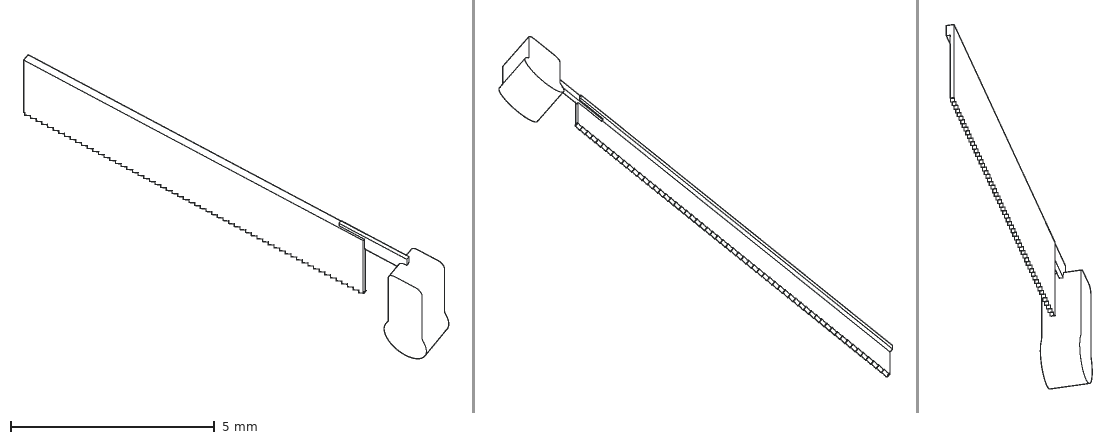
import cadquery as cq
import math

blade_length = 10.0
blade_height = 2.15
blade_thickness = 0.1
spine_thickness = 0.2
spine_height = 0.3
blade_front = -spine_thickness / 2

tooth_count = 60
tooth_pitch = blade_length / tooth_count
tooth_depth = 0.1
tooth_length = 0.158
first_tooth_start = 0.033
tooth_strip_overlap = 0.3

tang_length = 2.0
tang_height = 0.5
tang_thickness = 0.1
tang_rise = 0.1
tang_overlap = 0.75
tang_start = blade_length - tang_overlap
tang_top = blade_height + tang_rise

handle_gap = 1.0
handle_width = 1.0
handle_depth = 1.0
handle_height = 3.0
handle_drop = 0.25
handle_corner_radius = 0.2
knob_radius = 0.625
knob_blend_radius = 0.2
handle_center = blade_length + handle_gap + handle_width / 2
handle_top = tang_top - handle_drop
knob_center = handle_top - handle_height + knob_radius


def box(corner, size):
    """Box placed by its lowest corner."""
    return cq.Workplane("XY").box(*size, centered=False).translate(corner)


def make_blade():
    plate = box((0, blade_front, 0), (blade_length, blade_thickness, blade_height))
    spine = box(
        (0, blade_front, blade_height - spine_height),
        (blade_length, spine_thickness, spine_height),
    )
    return plate.union(spine)


def make_teeth():
    """One sawtooth strip that overlaps the plate; the last tooth reaches slightly past its end."""
    outline = [(0, tooth_strip_overlap), (0, 0)]
    for index in range(tooth_count):
        start = first_tooth_start + index * tooth_pitch
        outline.append((start, 0))
        outline.append((start, -tooth_depth))
        outline.append((start + tooth_length, 0))
    outline.append((blade_length, 0))
    outline.append((blade_length, tooth_strip_overlap))
    strip = cq.Workplane("XZ").polyline(outline).close().extrude(-blade_thickness)
    return strip.translate((0, blade_front, 0))


def make_tang():
    return box(
        (tang_start, -tang_thickness / 2, tang_top - tang_height),
        (tang_length, tang_thickness, tang_height),
    )


def make_handle():
    half_width = handle_width / 2

    corner = handle_corner_radius * (1 - math.cos(math.radians(45)))

    blend_x = half_width + knob_blend_radius
    center_distance = knob_radius + knob_blend_radius
    blend_z = math.sqrt(center_distance**2 - blend_x**2)
    knob_share = knob_radius / center_distance
    touch_x = blend_x * knob_share
    touch_z = blend_z * knob_share

    blend_angle = math.atan2(blend_z, blend_x) / 2
    middle_x = blend_x - knob_blend_radius * math.cos(blend_angle)
    middle_z = blend_z - knob_blend_radius * math.sin(blend_angle)

    top = handle_top - knob_center
    flat_end = half_width - handle_corner_radius
    side_end = top - handle_corner_radius
    outline = (
        cq.Workplane("XZ")
        .moveTo(-flat_end, top)
        .lineTo(flat_end, top)
        .threePointArc((half_width - corner, top - corner), (half_width, side_end))
        .lineTo(half_width, blend_z)
        .threePointArc((middle_x, middle_z), (touch_x, touch_z))
        .threePointArc((0, -knob_radius), (-touch_x, touch_z))
        .threePointArc((-middle_x, middle_z), (-half_width, blend_z))
        .lineTo(-half_width, side_end)
        .threePointArc((-half_width + corner, top - corner), (-flat_end, top))
        .close()
    )
    return outline.extrude(handle_depth / 2, both=True).translate((handle_center, 0, knob_center))


result = make_blade().union(make_teeth()).union(make_tang()).union(make_handle())